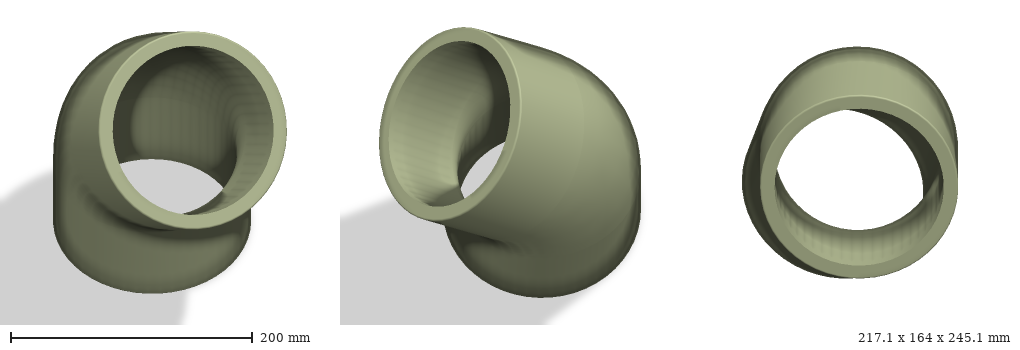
import cadquery as cq
import math

OUTER_DIAMETER = 164.0
BORE_DIAMETER = 140.0

BEND_ANGLE = 45.0
LEG_LENGTH = 75.69
INNER_BEND_RADIUS = 0.82
BEND_RADIUS = OUTER_DIAMETER / 2 + INNER_BEND_RADIUS

RIM_RADIUS = 1.5


def end_plane():
    """Plane where the bend meets the second leg, with its normal along that leg."""
    angle = math.radians(BEND_ANGLE)
    origin = (
        BEND_RADIUS * (1 - math.cos(angle)),
        0,
        LEG_LENGTH + BEND_RADIUS * math.sin(angle),
    )
    along_leg = (math.sin(angle), 0, math.cos(angle))
    return cq.Plane(origin=origin, xDir=(0, 1, 0), normal=along_leg)


def straight_leg(plane):
    """Tube along the plane normal, with its outer rim rounded at the far end."""
    tube = cq.Workplane(plane).circle(OUTER_DIAMETER / 2).extrude(LEG_LENGTH)
    end_face = cq.selectors.DirectionMinMaxSelector(plane.zDir)
    rounded = tube.faces(end_face).edges().fillet(RIM_RADIUS)
    bore = cq.Workplane(plane).circle(BORE_DIAMETER / 2).extrude(LEG_LENGTH)
    return rounded.cut(bore)


def bend():
    """Ring section swept about the bend axis, which runs parallel to Y."""
    return (
        cq.Workplane("XY", origin=(0, 0, LEG_LENGTH))
        .circle(OUTER_DIAMETER / 2)
        .circle(BORE_DIAMETER / 2)
        .revolve(BEND_ANGLE, (BEND_RADIUS, 0, 0), (BEND_RADIUS, 1, 0))
    )


bend_start = cq.Plane(origin=(0, 0, LEG_LENGTH), xDir=(1, 0, 0), normal=(0, 0, -1))

result = straight_leg(bend_start).union(bend()).union(straight_leg(end_plane()))